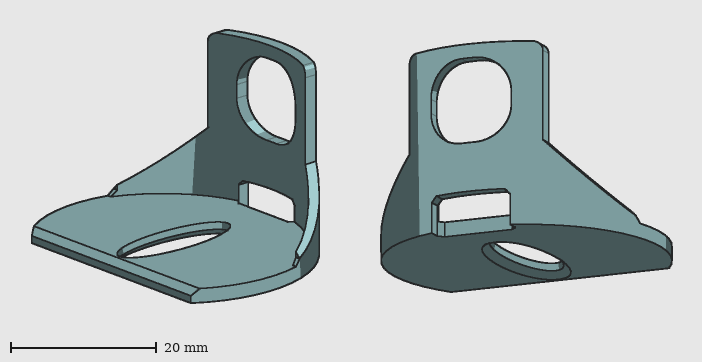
import cadquery as cq

outer_radius = 19.95
total_height = 26.0
plate_thickness = 2.08
front_flat_distance = 11.55
front_chamfer = 1.0

wall_thickness = 2.0
wall_end_y = 6.05
wall_end_bevel = 0.88

tab_width = 19.95
tab_corner_radius = 1.28
shoulder_height = 12.0

window_size = 11.98
window_corner_radius = 5.0
window_center_height = shoulder_height + window_size / 2

notch_width = 11.7
notch_height = 5.1
notch_front_y = 16.5
notch_chamfer = 0.8

slot_width = 7.0
slot_length = 19.95
slot_bottom_chamfer = 1.0


def make_plate():
    """Round base plate with a bevelled flat at the front and an elliptical slot chamfered underneath."""
    diameter = 2 * outer_radius
    disc = cq.Workplane("XY").circle(outer_radius).extrude(plate_thickness)
    keep = (
        cq.Workplane("XY")
        .box(diameter, front_flat_distance + outer_radius, plate_thickness, centered=(True, False, False))
        .translate((0, -front_flat_distance, 0))
        .faces("<Y").edges(">Z").chamfer(front_chamfer)
    )
    slot = cq.Workplane("XY").ellipse(slot_width / 2, slot_length / 2).extrude(plate_thickness)
    slotted = disc.cut(slot).faces("<Z").edges("%ELLIPSE").chamfer(slot_bottom_chamfer)
    return slotted.intersect(keep)


def wall_front_outline():
    """Tab with rounded top corners above 45 degree shoulders, through the full depth."""
    half_tab = tab_width / 2
    foot = half_tab + shoulder_height
    outline = (
        cq.Workplane("XZ")
        .polyline([
            (-foot, 0),
            (foot, 0),
            (half_tab, shoulder_height),
            (half_tab, total_height),
            (-half_tab, total_height),
            (-half_tab, shoulder_height),
        ])
        .close()
        .extrude(-outer_radius)
    )
    return outline.edges("|Y and >Z").fillet(tab_corner_radius)


def wall_side_outline():
    """Limits the wall to the rear and bevels the lower part of its two ends."""
    bevel_top = plate_thickness + wall_end_bevel
    bevel_foot_y = wall_end_y - wall_end_bevel
    return (
        cq.Workplane("YZ")
        .polyline([
            (bevel_foot_y, 0),
            (outer_radius, 0),
            (outer_radius, total_height),
            (wall_end_y, total_height),
            (wall_end_y, bevel_top),
            (bevel_foot_y, plate_thickness),
        ])
        .close()
        .extrude(outer_radius, both=True)
    )


def make_wall():
    """Curved upright of crescent section."""
    outer = cq.Workplane("XY").circle(outer_radius).extrude(total_height)
    inner = cq.Workplane("XY").center(0, -wall_thickness).circle(outer_radius).extrude(total_height)
    return outer.cut(inner).intersect(wall_front_outline()).intersect(wall_side_outline())


def make_window():
    """Rounded square opening through the tab."""
    return (
        cq.Workplane("XZ")
        .center(0, window_center_height)
        .rect(window_size, window_size)
        .extrude(-outer_radius)
        .edges("|Y").fillet(window_corner_radius)
    )


def make_notch():
    """Opening at the bend, through both wall and plate, with bevelled corners."""
    depth = outer_radius - notch_front_y
    return (
        cq.Workplane("XY")
        .box(notch_width, depth, notch_height, centered=(True, False, False))
        .translate((0, notch_front_y, 0))
        .edges("(|Y and >Z) or (|Z and <Y)").chamfer(notch_chamfer)
    )


result = make_plate().union(make_wall()).cut(make_window()).cut(make_notch())